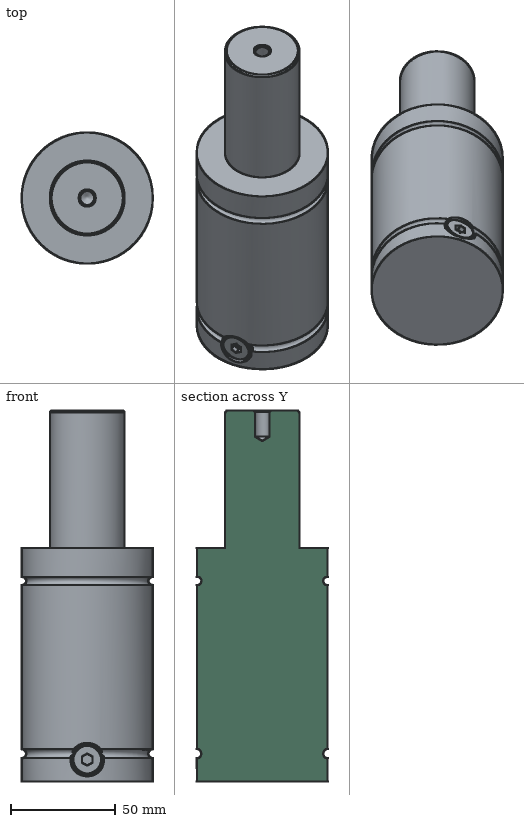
import cadquery as cq
import math

total_height = 178.0
body_diameter = 63.0
body_height = 112.1
rod_diameter = 36.0
rod_chamfer = 0.9
body_radius = body_diameter / 2

groove_depth = 2.1
upper_groove_bottom = 94.3
upper_groove_top = 98.0
lower_groove_bottom = 11.2
lower_groove_top = 15.5

rod_hole_diameter = 6.8
rod_hole_mouth_diameter = 8.2
rod_hole_depth = 12.5
drill_point_angle = 118.0

port_height = 10.5
port_diameter = 16.0
port_depth = 2.8
plug_diameter = 14.0
plug_recess = 0.7
plug_chamfer = 0.4
socket_across_flats = 5.0
socket_depth = 3.0


def make_groove(bottom, top):
    """Ring cutter with a circular-arc section, open at the body surface."""
    return (
        cq.Workplane("XZ")
        .moveTo(body_radius, bottom)
        .threePointArc((body_radius - groove_depth, (bottom + top) / 2), (body_radius, top))
        .lineTo(body_radius + groove_depth, top)
        .lineTo(body_radius + groove_depth, bottom)
        .close()
        .revolve(360, (0, 0, 0), (0, 1, 0))
    )


def make_rod_hole():
    """Chamfered blind hole, revolved about the cylinder axis."""
    radius = rod_hole_diameter / 2
    mouth_radius = rod_hole_mouth_diameter / 2
    mouth_depth = mouth_radius - radius
    floor = total_height - rod_hole_depth
    point_length = radius / math.tan(math.radians(drill_point_angle / 2))
    return (
        cq.Workplane("XZ")
        .moveTo(0, total_height)
        .lineTo(mouth_radius, total_height)
        .lineTo(radius, total_height - mouth_depth)
        .lineTo(radius, floor)
        .lineTo(0, floor - point_length)
        .close()
        .revolve(360, (0, 0, 0), (0, 1, 0))
    )


def port_plane(depth):
    """Sketch plane facing -Y, the given depth below the body surface."""
    return cq.Workplane("XZ", origin=(0, depth - body_radius, port_height))


body = cq.Workplane("XY").circle(body_radius).extrude(body_height)
rod = (
    cq.Workplane("XY", origin=(0, 0, body_height))
    .circle(rod_diameter / 2)
    .extrude(total_height - body_height)
    .faces(">Z")
    .chamfer(rod_chamfer)
)
result = body.union(rod).cut(make_rod_hole())

result = result.cut(make_groove(upper_groove_bottom, upper_groove_top))
result = result.cut(make_groove(lower_groove_bottom, lower_groove_top))

port = port_plane(port_depth).circle(port_diameter / 2).extrude(port_depth)
plug = (
    port_plane(port_depth)
    .circle(plug_diameter / 2)
    .extrude(port_depth - plug_recess)
    .faces("<Y")
    .chamfer(plug_chamfer)
)
socket_corner_diameter = socket_across_flats / math.cos(math.pi / 6)
socket = (
    port_plane(plug_recess)
    .transformed(rotate=(0, 0, 90))
    .polygon(6, socket_corner_diameter)
    .extrude(-socket_depth)
)
result = result.cut(port).union(plug).cut(socket)